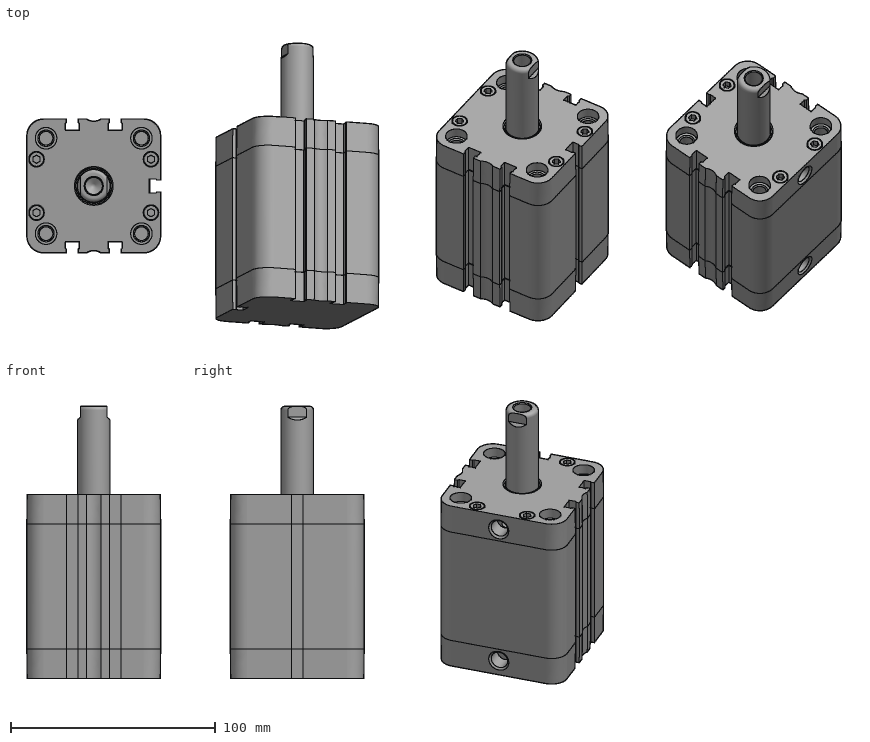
import cadquery as cq
import math


WIDTH = 65.5
TOTAL_HEIGHT = 133.0
BODY_HEIGHT = 89.9
CAP_HEIGHT = 14.5
CORNER_RADIUS = 8.2
CAP_DRAFT = 0.7
BARREL_HEIGHT = BODY_HEIGHT - 2 * CAP_HEIGHT
FRONT_CAP_Z = BODY_HEIGHT - CAP_HEIGHT
HALF_WIDTH = WIDTH / 2

SLOT_OFFSET = 10.5
SLOT_OPENING = 5.7
SLOT_INNER_WIDTH = 6.6
SLOT_DEPTH = 5.3
CAP_SLOT_RELIEF = 0.33
SLOT_LIP = 1.9
SLOT_LIP_SLOPE = 0.4
GROOVE_WIDTH = 6.9
GROOVE_DEPTH = 1.0

MOUNT_OFFSET = 23.3
MOUNT_BORE = 10.5
MOUNT_BORE_DEPTH = 5.0
MOUNT_COUNTERSINK = 8.0
MOUNT_THREAD = 6.6
MOUNT_THREAD_DEPTH = 8.0

SCREW_X = 27.9
SCREW_Y = 13.0
SCREW_HEAD = 6.9
SCREW_RECESS = 7.6
SCREW_GROOVE_DEPTH = 1.3
SCREW_HEX_FLATS = 3.5
SCREW_HEX_DEPTH = 3.3

PORT_EDGE_DISTANCE = 8.0
PORT_MOUTH = 10.6
PORT_THREAD = 8.5
PORT_DEPTH = 9.3
PASSAGE_DIAMETER = 3.5
PASSAGE_DROP = 2.1
PASSAGE_DEPTH = 4.0

ROD_DIAMETER = 16.0
ROD_END_FILLET = 2.0
ROD_FLATS = 13.0
ROD_FLAT_LENGTH = 5.3
ROD_THREAD = 8.4
ROD_THREAD_MOUTH = 9.3
ROD_THREAD_DEPTH = 20.0
DRILL_POINT_ANGLE = 118.0

WIPER_MOUTH = 18.9
WIPER_FLOOR = 17.7
SEAL_BORE = 16.5
SEAL_DEPTH = 2.7


def cone(large_diameter, small_diameter, origin, direction):
    """45-degree countersink that narrows from its origin along the direction."""
    large_radius = large_diameter / 2
    small_radius = small_diameter / 2
    depth = large_radius - small_radius
    return cq.Workplane(cq.Solid.makeCone(large_radius, small_radius, depth, origin, direction))


def slot_section(offset, relief=0.0):
    """T-slot through the -Y side, centred at x = offset.

    The relief moves the floor, and the inner wall nearer the middle of the side, into the metal.
    """
    opening = SLOT_OPENING / 2
    left = -SLOT_INNER_WIDTH / 2
    right = SLOT_INNER_WIDTH / 2
    if offset > 0:
        left -= relief
    if offset < 0:
        right += relief
    outside_y = -WIDTH
    lip_y = -HALF_WIDTH + SLOT_LIP
    inner_y = lip_y + SLOT_LIP_SLOPE
    floor_y = -HALF_WIDTH + SLOT_DEPTH + relief
    points = [
        (-opening, outside_y), (-opening, lip_y), (left, inner_y), (left, floor_y),
        (right, floor_y), (right, inner_y), (opening, lip_y), (opening, outside_y),
    ]
    return cq.Sketch().push([(offset, 0)]).polygon([*points, points[0]]).reset()


def groove_section():
    """Shallow round groove in the middle of the -Y side."""
    half = GROOVE_WIDTH / 2
    radius = (half**2 + GROOVE_DEPTH**2) / (2 * GROOVE_DEPTH)
    return cq.Sketch().push([(0, -HALF_WIDTH + GROOVE_DEPTH - radius)]).circle(radius).reset()


def turned(section, angle):
    return section.moved(cq.Location(cq.Vector(0, 0, 0), cq.Vector(0, 0, 1), angle))


def outline():
    """Square with rounded corners and a shallow groove on the -Y and +Y sides."""
    section = cq.Sketch().rect(WIDTH, WIDTH).vertices().fillet(CORNER_RADIUS).reset()
    for angle in (0, 180):
        section = section - turned(groove_section(), angle)
    return section


def cut_slots(body, height, relief=0.0):
    """Two slots along each of the -Y and +Y sides and one on +X, from z = 0 up to the height."""
    for offset, angle in (
        (-SLOT_OFFSET, 0), (SLOT_OFFSET, 0), (-SLOT_OFFSET, 180), (SLOT_OFFSET, 180), (0, 90),
    ):
        section = turned(slot_section(offset, relief), angle)
        body = body.cut(cq.Workplane("XY").placeSketch(section).extrude(height))
    return body


def cap_blank():
    """Cap standing on its full-size face at z = 0, narrowing upward, with straight slots."""
    block = cq.Workplane("XY").placeSketch(outline()).extrude(CAP_HEIGHT, taper=CAP_DRAFT)
    return cut_slots(block, CAP_HEIGHT, CAP_SLOT_RELIEF)


def cut_port(cap, z):
    """Threaded air port with a countersunk mouth, entering from -X."""
    inward = cq.Vector(1, 0, 0)
    start = cq.Vector(-HALF_WIDTH, 0, z)
    thread = cq.Workplane(cq.Solid.makeCylinder(PORT_THREAD / 2, PORT_DEPTH, start, inward))
    mouth = cone(PORT_MOUTH, PORT_THREAD, start, inward)
    return cap.cut(thread).cut(mouth)


def cut_mounting_holes(cap):
    """Counterbored blind threads at the four corners of the front cap."""
    spacing = 2 * MOUNT_OFFSET
    floor_z = BODY_HEIGHT - MOUNT_BORE_DEPTH
    corners = cq.Workplane("XY").rect(spacing, spacing, forConstruction=True).vertices()
    for corner in corners.vals():
        x, y, _ = corner.toTuple()
        centre = cq.Workplane("XY", origin=(x, y, floor_z))
        bore = centre.circle(MOUNT_BORE / 2).extrude(MOUNT_BORE_DEPTH)
        thread = centre.circle(MOUNT_THREAD / 2).extrude(-MOUNT_THREAD_DEPTH)
        sink = cone(MOUNT_COUNTERSINK, MOUNT_THREAD, cq.Vector(x, y, floor_z), cq.Vector(0, 0, -1))
        cap = cap.cut(bore).cut(thread).cut(sink)
    return cap


def cut_screw_heads(cap):
    """Ring gap around each flush screw head, and its hexagon socket with corners along Y."""
    hex_corners = SCREW_HEX_FLATS / math.cos(math.pi / 6)
    heads = (
        cq.Workplane("XY", origin=(0, 0, BODY_HEIGHT))
        .rect(2 * SCREW_X, 2 * SCREW_Y, forConstruction=True)
        .vertices()
    )
    rings = heads.circle(SCREW_RECESS / 2).circle(SCREW_HEAD / 2).extrude(-SCREW_GROOVE_DEPTH)
    socket = cq.Sketch().regularPolygon(hex_corners / 2, 6)
    sockets = heads.placeSketch(socket).extrude(-SCREW_HEX_DEPTH)
    return cap.cut(rings).cut(sockets)


def cut_rod_bore(cap):
    """Through bore for the rod, stepped out to a seal bore and a conical wiper recess."""
    top = cq.Workplane("XY", origin=(0, 0, BODY_HEIGHT))
    bore = top.circle(ROD_DIAMETER / 2).extrude(-CAP_HEIGHT)
    seal = top.circle(SEAL_BORE / 2).extrude(-SEAL_DEPTH)
    recess = cone(WIPER_MOUTH, WIPER_FLOOR, cq.Vector(0, 0, BODY_HEIGHT), cq.Vector(0, 0, -1))
    return cap.cut(bore).cut(seal).cut(recess)


def make_barrel():
    block = cq.Workplane("XY").placeSketch(outline()).extrude(BARREL_HEIGHT)
    return cut_slots(block, BARREL_HEIGHT).translate((0, 0, CAP_HEIGHT))


def make_rear_cap():
    cap = cap_blank().mirror("XY").translate((0, 0, CAP_HEIGHT))
    return cut_port(cap, PORT_EDGE_DISTANCE)


def make_front_cap():
    port_z = BODY_HEIGHT - PORT_EDGE_DISTANCE
    cap = cap_blank().translate((0, 0, FRONT_CAP_Z))
    cap = cut_port(cap, port_z)
    passage = (
        cq.Workplane("YZ", origin=(-HALF_WIDTH + PORT_DEPTH, 0, port_z - PASSAGE_DROP))
        .circle(PASSAGE_DIAMETER / 2)
        .extrude(PASSAGE_DEPTH)
    )
    cap = cap.cut(passage)
    cap = cut_mounting_holes(cap)
    cap = cut_screw_heads(cap)
    return cut_rod_bore(cap)


def make_rod():
    """Rod through the front cap, with a rounded end, wrench flats and a threaded hole."""
    radius = ROD_DIAMETER / 2
    rod = (
        cq.Workplane("XY", origin=(0, 0, FRONT_CAP_Z))
        .circle(radius)
        .extrude(TOTAL_HEIGHT - FRONT_CAP_Z)
        .faces(">Z")
        .edges()
        .fillet(ROD_END_FILLET)
    )

    flat_x = ROD_FLATS / 2
    flat_z = TOTAL_HEIGHT - ROD_FLAT_LENGTH
    flat_cut = (
        cq.Workplane("XZ")
        .moveTo(flat_x, TOTAL_HEIGHT)
        .lineTo(flat_x, flat_z)
        .lineTo(radius, flat_z - (radius - flat_x))
        .lineTo(radius, TOTAL_HEIGHT)
        .close()
        .extrude(radius, both=True)
    )
    rod = rod.cut(flat_cut).cut(flat_cut.mirror("YZ"))

    hole_radius = ROD_THREAD / 2
    mouth_radius = ROD_THREAD_MOUTH / 2
    full_depth_z = TOTAL_HEIGHT - ROD_THREAD_DEPTH
    point_depth = hole_radius / math.tan(math.radians(DRILL_POINT_ANGLE / 2))
    threaded_hole = (
        cq.Workplane("XZ")
        .moveTo(0, TOTAL_HEIGHT)
        .lineTo(mouth_radius, TOTAL_HEIGHT)
        .lineTo(hole_radius, TOTAL_HEIGHT - (mouth_radius - hole_radius))
        .lineTo(hole_radius, full_depth_z)
        .lineTo(0, full_depth_z - point_depth)
        .close()
        .revolve(360, (0, 0, 0), (0, 1, 0))
    )
    return rod.cut(threaded_hole)


barrel = make_barrel()
rear_cap = make_rear_cap()
front_cap = make_front_cap()
rod = make_rod()

result = cq.Compound.makeCompound([barrel.val(), rear_cap.val(), front_cap.val(), rod.val()])